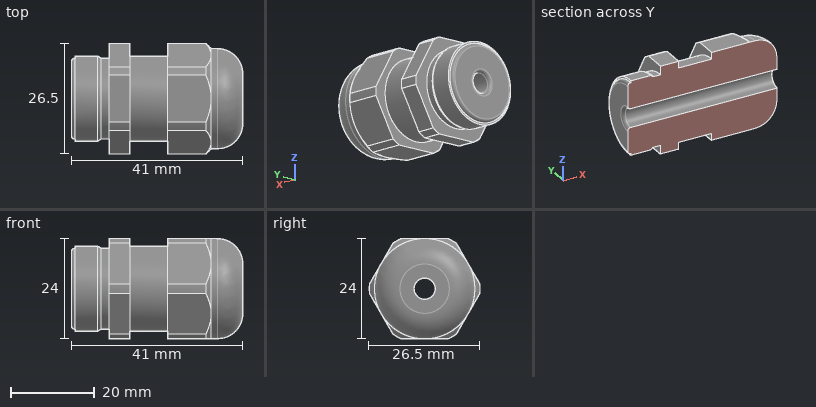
import cadquery as cq
import math

length = 41.0

thread_diameter = 20.4
relief_diameter = 19.38
body_diameter = thread_diameter
dome_diameter = 24.0
bore_diameter = 5.0

hexagon_sides = 6
across_flats = dome_diameter
across_sharp_corners = across_flats / math.cos(math.pi / hexagon_sides)
corner_diameter = 26.5

thread_start = 0.9
thread_end = 6.3
relief_start = 7.1
flange_start = 9.0
flange_end = 14.0
nut_start = 23.0
nut_end = 33.4
dome_start = 34.9

entry_fillet = 0.8
nut_chamfer = (corner_diameter - dome_diameter) / 2
dome_radius = length - dome_start


def disc(start, end, diameter):
    """Cylinder on the X axis between two stations."""
    return cq.Workplane("YZ", origin=(start, 0, 0)).circle(diameter / 2).extrude(end - start)


def hexagon(start, end, envelope):
    """Hexagonal prism with flats facing +Z and -Z, its corners turned down to a round envelope."""
    prism = (
        cq.Workplane("YZ", origin=(start, 0, 0))
        .polygon(hexagon_sides, across_sharp_corners)
        .extrude(end - start)
    )
    return prism.intersect(envelope)


def make_spigot():
    """Threaded end: rounded lead-in, plain thread envelope and tapered run-out into the relief."""
    core = disc(0, flange_start, relief_diameter).faces("<X").edges().fillet(entry_fillet)
    thread_radius = thread_diameter / 2
    thread = (
        cq.Workplane("XY")
        .moveTo(thread_start, 0)
        .lineTo(thread_start, thread_radius)
        .lineTo(thread_end, thread_radius)
        .lineTo(relief_start, relief_diameter / 2)
        .lineTo(relief_start, 0)
        .close()
        .revolve(360, (0, 0, 0), (1, 0, 0))
    )
    return core.union(thread)


def make_flange():
    """Hexagonal flange of the body."""
    envelope = disc(flange_start, flange_end, corner_diameter)
    return hexagon(flange_start, flange_end, envelope)


def make_nut():
    """Hexagonal part of the cap nut, its corners coned off towards the dome."""
    envelope = disc(nut_start, nut_end, corner_diameter).faces(">X").chamfer(nut_chamfer)
    return hexagon(nut_start, nut_end, envelope)


def make_dome():
    """Round end of the cap nut."""
    return disc(nut_end, length, dome_diameter).faces(">X").edges().fillet(dome_radius)


def cut_bore(part):
    """Cable bore through the whole part, with a rounded mouth at the spigot end."""
    bored = part.cut(disc(0, length, bore_diameter))
    mouth = bored.faces("<X").edges(cq.selectors.RadiusNthSelector(0))
    return mouth.fillet(entry_fillet)


body = disc(flange_start, nut_start, body_diameter)
gland = make_spigot().union(make_flange()).union(body).union(make_nut()).union(make_dome())
result = cut_bore(gland)